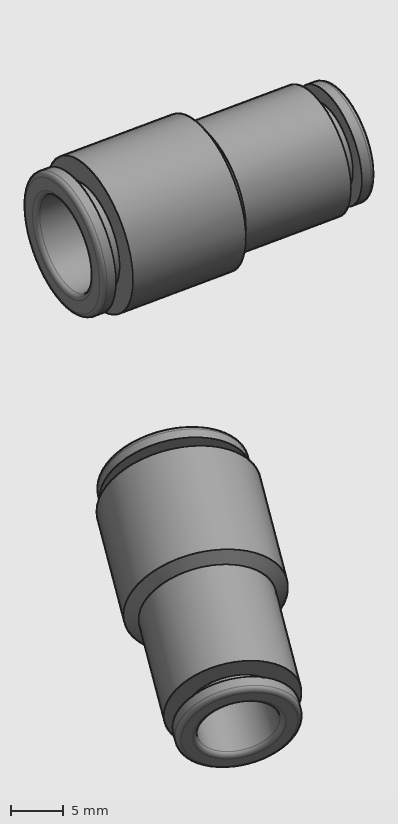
import cadquery as cq

length = 30.8
collar_thickness = 1.5
neck_length = 1.5
edge_round = 0.5

large_collar_diameter = 14.65
large_neck_diameter = 11.0
large_body_diameter = 15.9
large_body_length = 12.4
large_bore_diameter = 10.0
large_bore_depth = 14.17

small_collar_diameter = 12.25
small_neck_diameter = 9.0
small_body_diameter = 13.3
small_bore_diameter = 8.0
small_bore_depth = 14.17

shoulder_length = 0.8
passage_diameter = 5.0

front = -length / 2
back = length / 2
collar_and_neck = collar_thickness + neck_length
large_body_start = front + collar_and_neck
large_body_end = large_body_start + large_body_length
small_body_start = large_body_end + shoulder_length
small_body_end = back - collar_and_neck


def cylinder(diameter, start, end):
    """Cylinder along Y between two stations."""
    plane = cq.Workplane("XZ", origin=(0, start, 0))
    return plane.circle(diameter / 2).extrude(start - end)


def collar(diameter, bore_diameter, start, outer_face):
    """Release ring with its outer rim and bore mouth rounded on the exposed face."""
    ring = cylinder(diameter, start, start + collar_thickness)
    bore = cylinder(bore_diameter, start, start + collar_thickness)
    return ring.cut(bore).faces(outer_face).edges().fillet(edge_round)


body = (
    cq.Workplane("XY")
    .moveTo(0, large_body_start)
    .lineTo(large_body_diameter / 2, large_body_start)
    .lineTo(large_body_diameter / 2, large_body_end)
    .lineTo(small_body_diameter / 2, small_body_start)
    .lineTo(small_body_diameter / 2, small_body_end)
    .lineTo(0, small_body_end)
    .close()
    .revolve(360, (0, 0, 0), (0, 1, 0))
)

body = body.union(cylinder(large_neck_diameter, front + collar_thickness, large_body_start))
body = body.union(cylinder(small_neck_diameter, small_body_end, back - collar_thickness))

body = body.cut(cylinder(large_bore_diameter, front, front + large_bore_depth))
body = body.cut(cylinder(small_bore_diameter, back - small_bore_depth, back))
body = body.cut(cylinder(passage_diameter, front, back))

large_collar = collar(large_collar_diameter, large_bore_diameter, front, "<Y")
small_collar = collar(small_collar_diameter, small_bore_diameter, back - collar_thickness, ">Y")

result = body.union(large_collar).union(small_collar)